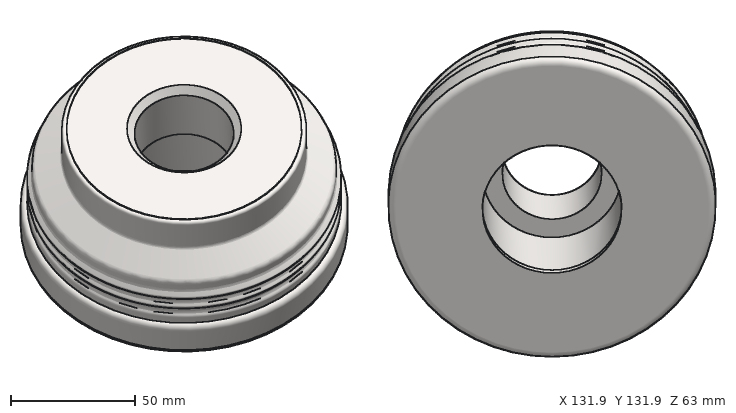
import cadquery as cq
import math

outer_d = 131.9
total_height = 63.0

plate_height = 2.9
plate_edge_radius = 2.9
collar_top = 16.7
collar_edge_radius = 2.4

land_d = 126.6
groove_d = 123.8
shoulder_d = 122.6
neck_d = 98.6
cone_top = 47.3
cone_angle = 32.5
shoulder_radius = 2.6
neck_root_radius = 1.3
neck_edge_radius = 1.2
pad_d = 94.7
pad_height = 0.4

rib_pitch = 5.9
rib_centres = [26.4, 26.4 + rib_pitch]
rib_tip_width = 1.2
rib_foot_width = 4
rib_tip_radius = 0.7
rib_root_radius = 1.6
land_top = 20.6
land_edge_radius = 1.3

bore_d = 40.0
bore_chamfer = 3.0
recess_d = 56.0
recess_top = 35.6

outer_r = outer_d / 2
land_r = land_d / 2
groove_r = groove_d / 2
shoulder_r = shoulder_d / 2
neck_r = neck_d / 2
recess_r = recess_d / 2
neck_top = total_height - pad_height
cone_bottom = cone_top - (shoulder_r - neck_r) * math.tan(math.radians(cone_angle))
rib_flank_height = (rib_foot_width - rib_tip_width) / 2
flank_slope = rib_flank_height / (land_r - groove_r)
last_tip_top = rib_centres[-1] + rib_tip_width / 2
shoulder_bottom = last_tip_top + (land_r - shoulder_r) * flank_slope


def revolve_profile(profile):
    """Turn a closed (radius, height) outline around Z."""
    return profile.close().revolve(360, (0, 0, 0), (0, 1, 0))


def round_edge(body, edge_r, height, fillet_r):
    """Fillet the circular edge of the given radius at the given height."""
    tolerance = 0.001

    def is_wanted(edge):
        return (
            edge.geomType() == "CIRCLE"
            and abs(edge.radius() - edge_r) < tolerance
            and abs(edge.Center().z - height) < tolerance
        )

    return body.edges().filter(is_wanted).fillet(fillet_r)


def make_hub():
    outline = [
        (recess_r, plate_height),
        (land_r, plate_height),
        (land_r, land_top),
        (groove_r, land_top + rib_flank_height),
    ]
    for centre in rib_centres:
        outline += [
            (groove_r, centre - rib_foot_width / 2),
            (land_r, centre - rib_tip_width / 2),
            (land_r, centre + rib_tip_width / 2),
        ]
        if centre != rib_centres[-1]:
            outline.append((groove_r, centre + rib_foot_width / 2))
    outline += [
        (shoulder_r, shoulder_bottom),
        (shoulder_r, cone_bottom),
        (neck_r, cone_top),
        (neck_r, neck_top),
        (pad_d / 2, neck_top),
        (pad_d / 2, total_height),
        (bore_d / 2 + bore_chamfer, total_height),
        (bore_d / 2, total_height - bore_chamfer),
        (bore_d / 2, recess_top),
        (recess_r, recess_top),
    ]
    hub = revolve_profile(cq.Workplane("XZ").polyline(outline))

    hub = round_edge(hub, land_r, land_top, land_edge_radius)
    for centre in rib_centres:
        for side in (-1, 1):
            hub = round_edge(hub, land_r, centre + side * rib_tip_width / 2, rib_tip_radius)
    groove_roots = [land_top + rib_flank_height]
    groove_roots += [centre - rib_foot_width / 2 for centre in rib_centres]
    groove_roots += [centre + rib_foot_width / 2 for centre in rib_centres[:-1]]
    for root in groove_roots:
        hub = round_edge(hub, groove_r, root, rib_root_radius)
    hub = round_edge(hub, shoulder_r, shoulder_bottom, rib_root_radius)
    hub = round_edge(hub, shoulder_r, cone_bottom, shoulder_radius)
    hub = round_edge(hub, neck_r, cone_top, neck_root_radius)
    return round_edge(hub, neck_r, neck_top, neck_edge_radius)


def make_collar():
    collar = (
        cq.Workplane("XY", origin=(0, 0, plate_height))
        .circle(outer_r)
        .circle(land_r)
        .extrude(collar_top - plate_height)
    )
    return round_edge(collar, outer_r, collar_top, collar_edge_radius)


def make_end_plate():
    profile = (
        cq.Workplane("XZ")
        .moveTo(recess_r, 0)
        .lineTo(outer_r - plate_edge_radius, 0)
        .radiusArc((outer_r, plate_height), -plate_edge_radius)
        .lineTo(recess_r, plate_height)
    )
    return revolve_profile(profile)


hub = make_hub()
collar = make_collar()
end_plate = make_end_plate()

result = cq.Compound.makeCompound([hub.val(), collar.val(), end_plate.val()])